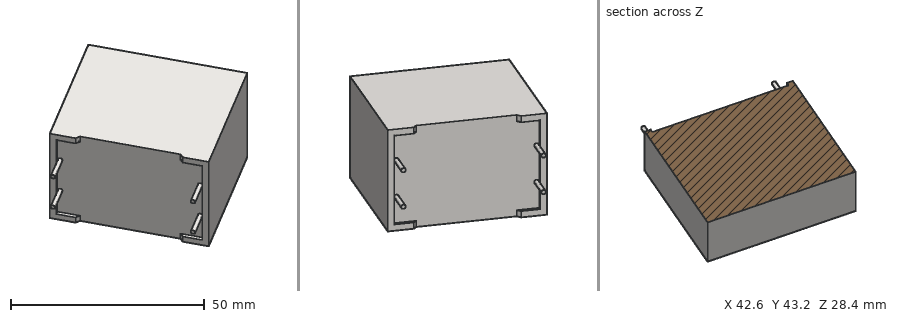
import cadquery as cq


total_length = 43.2
block_width = 42.6
block_height = 28.43
pin_length = 6.0
block_depth = total_length - pin_length

wall = 1.75
recess_depth = 1.0
notch_floor_width = 26.9
notch_ramp = 0.9
notch_mouth_width = notch_floor_width + 2 * notch_ramp

pin_radius = 0.6
pin_spacing_x = 37.5
pin_spacing_z = 10.25


def make_block():
    return cq.Workplane("XY").box(
        block_width, block_depth, block_height, centered=(True, False, True)
    )


def make_recess():
    """Shallow rectangular pocket inside the rim."""
    return cq.Workplane("XY").box(
        block_width - 2 * wall, recess_depth, block_height - 2 * wall, centered=(True, False, True)
    )


def make_notch():
    """Cutter with sloped ends that opens the rim at +Z and -Z, level with the recess floor."""
    outline = [
        (-notch_mouth_width / 2, 0),
        (-notch_floor_width / 2, recess_depth),
        (notch_floor_width / 2, recess_depth),
        (notch_mouth_width / 2, 0),
    ]
    return cq.Workplane("XY").polyline(outline).close().extrude(block_height / 2, both=True)


def make_pin(x, z):
    """Round pin from its tip to the recess floor."""
    return (
        cq.Workplane("XZ", origin=(x, recess_depth, z))
        .circle(pin_radius)
        .extrude(recess_depth + pin_length)
    )


capacitor = make_block().cut(make_recess()).cut(make_notch())
for x in (-pin_spacing_x / 2, pin_spacing_x / 2):
    for z in (-pin_spacing_z / 2, pin_spacing_z / 2):
        capacitor = capacitor.union(make_pin(x, z))

result = cq.Compound.makeCompound([capacitor.val()])